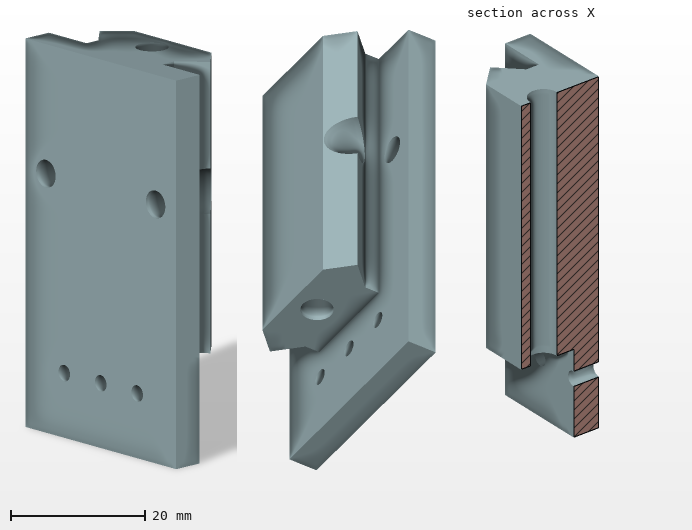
import cadquery as cq

plate_width = 33.0
plate_thickness = 4.8
plate_height = 60.0

total_depth = 14.75
rail_length = 45.0
rail_tip_half_width = 12.1
back_flank_depth = 3.7
front_flank_depth = 3.85
back_half_width = rail_tip_half_width - back_flank_depth
neck_half_width = rail_tip_half_width - front_flank_depth
tip_y = total_depth - back_flank_depth
neck_end_y = tip_y - front_flank_depth

bore_diameter = 5.0
bore_y = 10.45

mount_hole_diameter = 4.25
head_clearance_diameter = 7.0
mount_hole_x = 12.0
mount_hole_z = 2 * plate_height / 3

small_hole_diameter = 2.5
small_hole_spacing = 8.0
small_hole_z = plate_height / 6


def cylinder_along_y(x, z, diameter, start_y, end_y):
    """Cylinder parallel to Y between two depths."""
    return cq.Workplane(
        cq.Solid.makeCylinder(
            diameter / 2, end_y - start_y, cq.Vector(x, start_y, z), cq.Vector(0, 1, 0)
        )
    )


plate = cq.Workplane("XY").box(
    plate_width, plate_thickness, plate_height, centered=(True, False, False)
)

right_profile = [
    (neck_half_width, plate_thickness),
    (neck_half_width, neck_end_y),
    (rail_tip_half_width, tip_y),
    (back_half_width, total_depth),
]
left_profile = [(-x, y) for x, y in reversed(right_profile)]
rail = (
    cq.Workplane("XY", origin=(0, 0, plate_height - rail_length))
    .polyline(right_profile + left_profile)
    .close()
    .extrude(rail_length)
)
bore = (
    cq.Workplane("XY", origin=(0, bore_y, 0))
    .circle(bore_diameter / 2)
    .extrude(plate_height)
)

result = plate.union(rail).cut(bore)

for x in (-mount_hole_x, mount_hole_x):
    result = result.cut(cylinder_along_y(x, mount_hole_z, mount_hole_diameter, 0, plate_thickness))
    result = result.cut(
        cylinder_along_y(x, mount_hole_z, head_clearance_diameter, plate_thickness, total_depth)
    )

for x in (-small_hole_spacing, 0, small_hole_spacing):
    result = result.cut(cylinder_along_y(x, small_hole_z, small_hole_diameter, 0, plate_thickness))